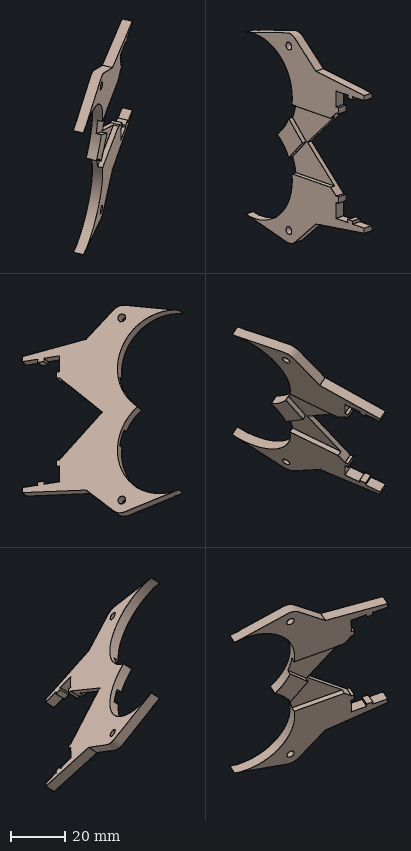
import cadquery as cq
import math

thickness = 4.0
overall_width = 63.1
overall_height = 82.4
half_width = overall_width / 2
half_height = overall_height / 2

waist_back_y = -0.6

mouth_radius = 20.0
mouth_y = -26.8
mouth_z = 16.15

hole_diameter = 3.0
shoulder_radius = 5.0
pivot_y = -8.5
pivot_z = half_height - shoulder_radius

tail_tip_top_z = 27.0
tail_bottom_z = 25.0
tail_root_y = 5.85
tail_root_z = 30.0
seat_wall_y = 16.6

tab_height = 1.2
tab_length = 2.55
tail_tab_y = 24.1
wall_tab_bottom_z = 16.2

groove_depth = 2.0
groove_bottom_z = 7.75
groove_height = 5.8


def mouth_point(angle):
    """Point (Y, Z) on the mouth circle."""
    return (mouth_y + mouth_radius * math.cos(angle), mouth_z + mouth_radius * math.sin(angle))


def shoulder_point(angle):
    """Point (Y, Z) on the shoulder circle."""
    return (pivot_y + shoulder_radius * math.cos(angle), pivot_z + shoulder_radius * math.sin(angle))


def tangent_angle(point, side):
    """Angle on the shoulder circle where a line from the point touches it."""
    dy = point[0] - pivot_y
    dz = point[1] - pivot_z
    return math.atan2(dz, dy) + side * math.acos(shoulder_radius / math.hypot(dy, dz))


def make_claw():
    """Upper claw, standing on the plane Z = 0."""
    waist_front_angle = -math.asin(mouth_z / mouth_radius)
    beak_angle = math.acos((-half_width - mouth_y) / mouth_radius)
    beak_tip = mouth_point(beak_angle)
    tail_root = (tail_root_y, tail_root_z)
    back_tangent = tangent_angle(tail_root, 1)
    beak_tangent = tangent_angle(beak_tip, -1) % (2 * math.pi)
    outline = (
        cq.Workplane("YZ")
        .moveTo(waist_back_y, 0)
        .lineTo(seat_wall_y, wall_tab_bottom_z)
        .lineTo(seat_wall_y, tail_bottom_z)
        .lineTo(half_width, tail_bottom_z)
        .lineTo(half_width, tail_tip_top_z)
        .lineTo(*tail_root)
        .lineTo(*shoulder_point(back_tangent))
        .threePointArc(shoulder_point((back_tangent + beak_tangent) / 2), shoulder_point(beak_tangent))
        .lineTo(*beak_tip)
        .threePointArc(mouth_point(0), mouth_point(waist_front_angle))
        .close()
    )
    claw = outline.extrude(thickness / 2, both=True)
    return claw.union(make_tabs()).cut(make_pivot_hole())


def make_tabs():
    """Tabs under the tail and on the seat wall, each sunk into its face by its own height."""
    tail_tab = cq.Workplane("XY").box(thickness, tab_length, 2 * tab_height)
    wall_tab = cq.Workplane("XY").box(thickness, 2 * tab_height, tab_length)
    wall_tab_z = wall_tab_bottom_z + tab_length / 2
    return tail_tab.translate((0, tail_tab_y, tail_bottom_z)).union(
        wall_tab.translate((0, seat_wall_y, wall_tab_z))
    )


def make_pivot_hole():
    return (
        cq.Workplane("YZ")
        .center(pivot_y, pivot_z)
        .circle(hole_diameter / 2)
        .extrude(thickness, both=True)
    )


def make_groove():
    """Groove from the mouth to the back edge; its lower wall drops square to that edge."""
    groove_top_z = groove_bottom_z + groove_height
    lower_wall_start_y, _ = mouth_point(math.asin((groove_bottom_z - mouth_z) / mouth_radius))
    lower_wall_run = groove_bottom_z * wall_tab_bottom_z / (seat_wall_y - waist_back_y)
    return (
        cq.Workplane("YZ", origin=(thickness / 2 - groove_depth, 0, 0))
        .moveTo(-half_width, groove_bottom_z)
        .lineTo(lower_wall_start_y, groove_bottom_z)
        .lineTo(lower_wall_start_y + lower_wall_run, 0)
        .lineTo(half_width, 0)
        .lineTo(half_width, groove_top_z)
        .lineTo(-half_width, groove_top_z)
        .close()
        .extrude(groove_depth)
    )


upper_claw = make_claw().cut(make_groove())
result = upper_claw.union(upper_claw.mirror("XY"))